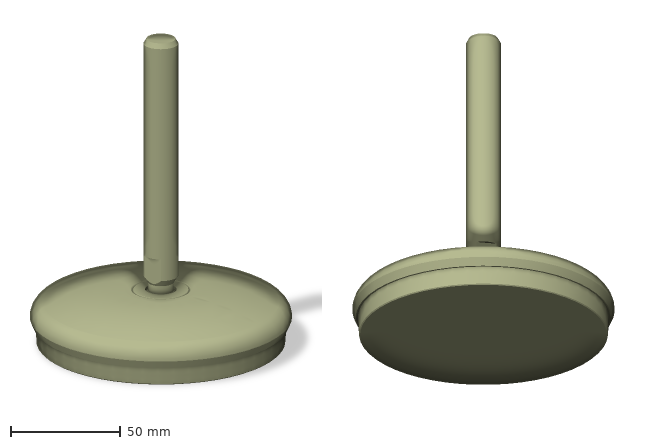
import cadquery as cq
import math

total_height = 147.7
shank_diameter = 16.0
shank_bottom_z = 32.6
tip_diameter = 13.3
tip_chamfer_height = 2.4
neck_diameter = 11.7
neck_top_z = 29.4
neck_bottom_z = 25.4
ball_diameter = 22.9

flats_width = 13.0
flats_top_z = 43.1

base_diameter = 119.9
base_bottom_z = 8.7
base_bottom_diameter = 116.7
rim_land_bottom_z = 12.4
rim_land_top_z = 12.7
dome_edge_diameter = 108.7
dome_edge_z = 20.1
crown_diameter = 32.8
crown_z = 25.8

groove_outer_diameter = 27.5
groove_root_diameter = 26.0
groove_inner_diameter = 25.1
groove_depth = 0.5
opening_diameter = 14.5

pad_top_diameter = 114.8
pad_bottom_diameter = 113.7
pad_chamfer = 0.5

ball_radius = ball_diameter / 2
neck_radius = neck_diameter / 2
ball_center_z = neck_bottom_z - math.sqrt(ball_radius**2 - neck_radius**2)
ball_flat_radius = math.sqrt(ball_radius**2 - (ball_center_z - base_bottom_z) ** 2)


def revolve_z(profile):
    """Revolve a closed (radius, height) profile about the Z axis."""
    return profile.close().revolve(360, (0, 0, 0), (0, 1, 0))


def make_stem():
    shank_radius = shank_diameter / 2
    tip_radius = tip_diameter / 2
    stem = revolve_z(
        cq.Workplane("XZ")
        .moveTo(0, base_bottom_z)
        .lineTo(ball_flat_radius, base_bottom_z)
        .threePointArc((ball_radius, ball_center_z), (neck_radius, neck_bottom_z))
        .lineTo(neck_radius, neck_top_z)
        .lineTo(shank_radius, shank_bottom_z)
        .lineTo(shank_radius, total_height - tip_chamfer_height)
        .lineTo(tip_radius, total_height)
        .lineTo(0, total_height)
    )
    flats_height = flats_top_z - neck_top_z
    for side in (-1, 1):
        cutter = cq.Workplane("XY", origin=(0, side * flats_width, neck_top_z)).box(
            shank_diameter, flats_width, flats_height, centered=(True, True, False)
        )
        stem = stem.cut(cutter)
    return stem.solids()


def make_base():
    base_radius = base_diameter / 2
    crown_radius = crown_diameter / 2
    body = revolve_z(
        cq.Workplane("XZ")
        .moveTo(0, crown_z)
        .lineTo(crown_radius, crown_z)
        .tangentArcPoint((dome_edge_diameter / 2, dome_edge_z), relative=False)
        .tangentArcPoint((base_radius, rim_land_top_z), relative=False)
        .lineTo(base_radius, rim_land_bottom_z)
        .lineTo(base_bottom_diameter / 2, base_bottom_z)
        .lineTo(0, base_bottom_z)
    )
    groove = revolve_z(
        cq.Workplane("XZ")
        .moveTo(groove_outer_diameter / 2, crown_z)
        .lineTo(groove_root_diameter / 2, crown_z - groove_depth)
        .lineTo(groove_inner_diameter / 2, crown_z)
    )
    opening = (
        cq.Workplane("XY", origin=(0, 0, ball_center_z))
        .circle(opening_diameter / 2)
        .extrude(crown_z - ball_center_z)
    )
    socket = cq.Workplane("XY", origin=(0, 0, ball_center_z)).sphere(ball_radius)
    return body.cut(groove).cut(opening).cut(socket).solids()


def make_pad():
    bottom_radius = pad_bottom_diameter / 2
    return revolve_z(
        cq.Workplane("XZ")
        .moveTo(0, 0)
        .lineTo(bottom_radius - pad_chamfer, 0)
        .lineTo(bottom_radius, pad_chamfer)
        .lineTo(pad_top_diameter / 2, base_bottom_z)
        .lineTo(0, base_bottom_z)
    )


stem = make_stem()
base = make_base()
pad = make_pad()

result = cq.Compound.makeCompound([stem.val(), base.val(), pad.val()])